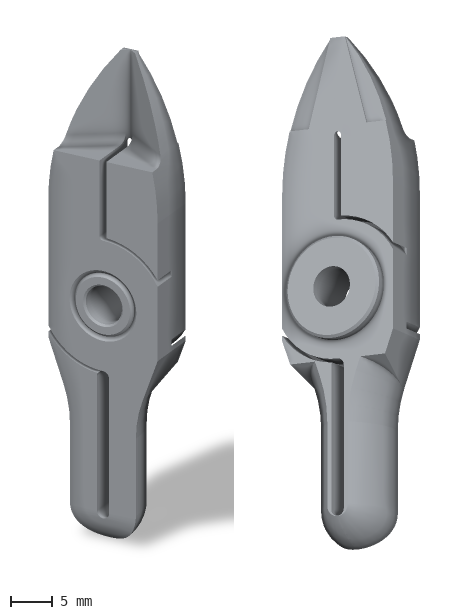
import cadquery as cq
import math


body_half_width = 7.5
body_thickness = 6.95
tip_z = 31.0
handle_tip_z = -31.0
front_y = -body_thickness / 2
back_y = body_thickness / 2

hub_radius = 8.55
recess_radius = 9.0

blade_curve_z = 12.4
tip_half_width = 1.0
bevel_angle = 33.0
edge_thickness = 0.2
shoulder_z = 19.0
shoulder_fillet = 1.1
blade_slot_width = 0.9
blade_slot_top = 19.4
back_step_depth = 0.2
back_step_z = 20.1
back_step_half_width = 3.9

handle_half_width = 4.5
flank_z = -5.65
flank_angle = 20.0
flank_blend_radius = 14.8
flank_back_z = -8.6
handle_flat_depth = 0.55
handle_round_radius = 8.05
end_cut_z = -27.05
end_cut_depth = 1.75
handle_slot_width = 1.7
handle_slot_bottom = -27.9

pin_radius = 4.1
pin_chamfer = 0.4
jaw_countersink = 0.5
pin_head_radius = 6.25
pin_head_thickness = 1.55
pin_head_chamfer = 0.3
pin_bore_radius = 2.5
pin_bore_chamfer = 0.25

cut_reach = 37.2

flank_slope = math.tan(math.radians(flank_angle))
blend_tangent = flank_blend_radius * math.tan(math.radians(flank_angle / 2))
flank_corner_z = flank_z - (body_half_width - handle_half_width) / flank_slope
blend_bottom_z = flank_corner_z - blend_tangent
blend_top_x = handle_half_width + blend_tangent * math.sin(math.radians(flank_angle))
blend_top_z = flank_corner_z + blend_tangent * math.cos(math.radians(flank_angle))
round_start_y = front_y + handle_flat_depth


def round_inset(y):
    """Distance the rounded handle side lies inside its full width at depth y."""
    return handle_round_radius - math.sqrt(handle_round_radius**2 - (y - round_start_y) ** 2)


end_tip_y = front_y + end_cut_depth
handle_end_z = handle_tip_z + handle_half_width - round_inset(end_tip_y)


def through_body(sketch):
    """Extrude an XZ outline through the full body thickness."""
    return sketch.extrude(body_thickness / 2, both=True)


def on_side(shape, side):
    """Keep a shape modelled at +X, or mirror it to -X."""
    return shape if side > 0 else shape.mirror("YZ")


def bevel_cutter(bottom_z):
    """Block whose back face is the plane of the blade bevel."""
    cutter = cq.Workplane("XY").box(2 * cut_reach, cut_reach, cut_reach, centered=(True, False, False))
    return cutter.translate((0, -cut_reach, bottom_z))


def place_bevel(cutter):
    """Tilt a bevel cutter and set it just in front of the back face."""
    tilted = cutter.rotate((0, 0, 0), (0, 0, 1), -bevel_angle)
    return tilted.translate((0, back_y - edge_thickness, 0))


def back_step():
    """Shallow step on the back of the blade, narrowing toward the tip."""
    return (
        cq.Workplane("XZ", origin=(0, back_y, 0))
        .moveTo(back_step_half_width, back_step_z)
        .lineTo(body_half_width, back_step_z)
        .lineTo(body_half_width, tip_z)
        .lineTo(tip_half_width, tip_z)
        .close()
        .extrude(back_step_depth)
    )


def make_blade():
    """Blade on the +X side, with its cutting edge on X = 0."""
    curve_width = body_half_width - tip_half_width
    curve_height = tip_z - blade_curve_z
    curve_radius = (curve_width**2 + curve_height**2) / (2 * curve_width)
    half_sweep = math.asin(curve_height / curve_radius) / 2
    curve_middle = (
        body_half_width - curve_radius * (1 - math.cos(half_sweep)),
        blade_curve_z + curve_radius * math.sin(half_sweep),
    )
    blade = through_body(
        cq.Workplane("XZ")
        .lineTo(body_half_width, 0)
        .lineTo(body_half_width, blade_curve_z)
        .threePointArc(curve_middle, (tip_half_width, tip_z))
        .lineTo(0, tip_z)
        .close()
    )
    relief = bevel_cutter(shoulder_z).edges(">Y and <Z").fillet(shoulder_fillet)
    slot_strip = cq.Workplane("XY").box(blade_slot_width, 2 * cut_reach, 2 * cut_reach)
    slot_relief = place_bevel(bevel_cutter(shoulder_z)).intersect(slot_strip)
    return blade.cut(place_bevel(relief)).cut(slot_relief).cut(back_step())


def make_flank():
    """Tapering block between hub and handle, with a sloping underside."""
    outline = through_body(
        cq.Workplane("XZ")
        .lineTo(body_half_width, 0)
        .lineTo(body_half_width, flank_z)
        .lineTo(blend_top_x, blend_top_z)
        .lineTo(0, blend_top_z)
        .close()
    )
    side_profile = (
        cq.Workplane("YZ")
        .polyline(
            [
                (front_y, 0),
                (back_y, 0),
                (back_y, flank_back_z),
                (round_start_y, blend_top_z),
                (front_y, blend_top_z),
            ]
        )
        .close()
        .extrude(body_half_width)
    )
    return outline.intersect(side_profile)


def handle_section(z, inner_x):
    """Handle cross-section: flat front edge strip, then rounded toward the back."""
    middle_y = (round_start_y + back_y) / 2
    return (
        cq.Workplane("XY", origin=(0, 0, z))
        .moveTo(inner_x, front_y)
        .lineTo(handle_half_width, front_y)
        .lineTo(handle_half_width, round_start_y)
        .threePointArc(
            (handle_half_width - round_inset(middle_y), middle_y),
            (handle_half_width - round_inset(back_y), back_y),
        )
        .lineTo(inner_x, back_y)
        .close()
    )


def make_grip():
    """Rounded handle on the +X side, from the flank down to its round end."""
    half_angle = math.radians(flank_angle / 2)
    blend_middle = (
        handle_half_width + flank_blend_radius * (1 - math.cos(half_angle)),
        blend_bottom_z + flank_blend_radius * math.sin(half_angle),
    )
    path = (
        cq.Workplane("XZ")
        .moveTo(handle_half_width, handle_end_z)
        .lineTo(handle_half_width, blend_bottom_z)
        .threePointArc(blend_middle, (blend_top_x, blend_top_z))
        .lineTo(body_half_width, flank_z)
    )
    shaft = handle_section(handle_end_z, -handle_half_width).sweep(path)
    half_space = cq.Workplane("XY").box(cut_reach, cut_reach, 2 * cut_reach, centered=(False, True, True))
    round_end = handle_section(handle_end_z, 0).revolve(90, (0, 0, 0), (0, 1, 0))
    return shaft.intersect(half_space).union(round_end)


def end_cutter():
    """Space in front of the curved face at the handle end."""
    drop = end_cut_z - handle_tip_z
    radius = (drop**2 + end_cut_depth**2) / (2 * end_cut_depth)
    half_sweep = math.asin(drop / radius) / 2
    arc_middle = (front_y + radius * (1 - math.cos(half_sweep)), end_cut_z - radius * math.sin(half_sweep))
    return (
        cq.Workplane("YZ")
        .moveTo(front_y, end_cut_z)
        .threePointArc(arc_middle, (end_tip_y, handle_tip_z))
        .lineTo(end_tip_y, -cut_reach)
        .lineTo(front_y, -cut_reach)
        .close()
        .extrude(cut_reach, both=True)
    )


def make_handle():
    """Complete handle on the +X side."""
    return make_flank().union(make_grip()).cut(end_cutter())


def round_slot(width, low_z, high_z):
    """Round-ended slot on the centre line, through the body."""
    return through_body(
        cq.Workplane("XZ", origin=(0, 0, (low_z + high_z) / 2)).slot2D(high_z - low_z, width, 90)
    )


def disc(radius, start_y, end_y):
    """Disc on the pivot axis between two Y positions."""
    return cq.Workplane("XZ", origin=(0, start_y, 0)).circle(radius).extrude(start_y - end_y)


def make_hub(face_y):
    """Half-thick hub disc, trimmed to the outline of the body."""
    upper_outline = cq.Workplane("XY").box(
        2 * body_half_width, body_thickness, recess_radius, centered=(True, True, False)
    )
    outline = upper_outline.union(make_flank()).union(on_side(make_flank(), -1))
    return disc(hub_radius, 0, face_y).intersect(outline)


def make_jaw(blade_side, hub_face_y):
    """Jaw with its blade on one side, its handle on the other and a half-thick hub."""
    other_face_y = -hub_face_y
    arms = on_side(make_blade(), blade_side).union(on_side(make_handle(), -blade_side))
    arms = arms.cut(disc(recess_radius, 0, other_face_y))
    jaw = arms.union(make_hub(hub_face_y))
    jaw = jaw.cut(round_slot(blade_slot_width, hub_radius, blade_slot_top))
    jaw = jaw.cut(round_slot(handle_slot_width, handle_slot_bottom, -hub_radius))
    return jaw.cut(disc(pin_radius, front_y, back_y))


def make_countersink():
    """Conical recess around the pin at the front face."""
    return (
        cq.Workplane("XY")
        .moveTo(0, front_y)
        .lineTo(pin_radius + jaw_countersink, front_y)
        .lineTo(pin_radius, front_y + jaw_countersink)
        .lineTo(0, front_y + jaw_countersink)
        .close()
        .revolve(360, (0, 0, 0), (0, 1, 0))
    )


def make_pin():
    """Hollow pivot pin with its head against the back face."""
    shank = disc(pin_radius, front_y, back_y).faces("<Y").chamfer(pin_chamfer)
    head_y = back_y + pin_head_thickness
    head = disc(pin_head_radius, back_y, head_y).faces(">Y").chamfer(pin_head_chamfer)
    pin = shank.union(head).cut(disc(pin_bore_radius, front_y, head_y))
    bore_rim = pin.faces("<Y").edges(cq.selectors.RadiusNthSelector(0))
    return bore_rim.chamfer(pin_bore_chamfer)


front_jaw = make_jaw(-1, front_y).cut(make_countersink())
back_jaw = make_jaw(1, back_y)
pin = make_pin()

bodies = [front_jaw, back_jaw, pin]
result = cq.Compound.makeCompound([body.solids().val() for body in bodies])